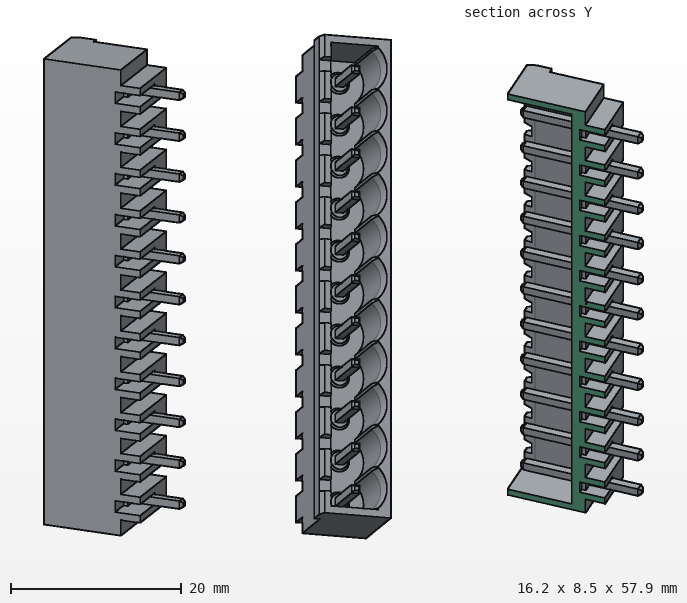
import cadquery as cq

contact_count = 11
pitch = 5.08
end_margin = 3.54
body_height = (contact_count - 1) * pitch + 2 * end_margin
contact_y = 3.9
contact_heights = [end_margin + i * pitch for i in range(contact_count)]

body_length = 9.8
body_width = 7.8
ridge_top = 8.5
ridge_length = 3.0
ridge_ramp_length = 1.0
rim_width = 8.15

cavity_depth = 8.0
end_wall = 0.89
lead_in_length = 1.44
wall_y = 6.93
wall_y_at_rim = 7.34
scallop_radius = 3.05
scallop_radius_at_rim = 3.4
web_y = 1.92
web_y_at_rim = 1.55

notch_depth = 1.0
notch_width = 1.4
notch_width_at_rim = 1.74

foot_end = 12.25
foot_width = 3.2
slot_width = 1.4
slot_start = 9.07
slot_start_at_pin = 9.6
slot_shoulder_y = 2.5

pin_size = 1.0
pin_start = 1.0
pin_end = 16.2
tip_size = 0.5
tip_length = 0.4
collar_radius = 1.3
collar_top_radius = 1.05
collar_height = 0.25


def make_housing():
    """Housing block with the latching ridge and its ramp."""
    return (
        cq.Workplane("XY")
        .moveTo(0, 0)
        .lineTo(body_length, 0)
        .lineTo(body_length, body_width)
        .lineTo(ridge_length, body_width)
        .lineTo(ridge_length, ridge_top)
        .lineTo(ridge_ramp_length, ridge_top)
        .lineTo(0, rim_width)
        .close()
        .extrude(body_height)
    )


def make_feet():
    """One foot behind each contact."""
    feet = cq.Workplane("XY")
    for z in contact_heights:
        foot = cq.Workplane("XY").box(
            foot_end - cavity_depth, body_width, foot_width, centered=(False, False, True)
        )
        feet = feet.add(foot.translate((cavity_depth, 0, z)))
    return feet.combine()


def make_cavity():
    """Cavity volume: a straight-sided trough plus one flared scallop per contact."""
    inner_height = body_height - 2 * end_wall
    trough = (
        cq.Workplane("XY")
        .moveTo(0, web_y_at_rim)
        .lineTo(lead_in_length, web_y)
        .lineTo(cavity_depth, web_y)
        .lineTo(cavity_depth, wall_y)
        .lineTo(lead_in_length, wall_y)
        .lineTo(0, wall_y_at_rim)
        .close()
        .extrude(inner_height)
        .translate((0, 0, end_wall))
    )
    inner_block = cq.Workplane("XY").box(
        cavity_depth, contact_y, inner_height, centered=False
    ).translate((0, 0, end_wall))
    cavity = trough
    for z in contact_heights:
        scallop = (
            cq.Workplane("XY")
            .moveTo(0, contact_y)
            .lineTo(0, contact_y - scallop_radius_at_rim)
            .lineTo(lead_in_length, contact_y - scallop_radius)
            .lineTo(cavity_depth, contact_y - scallop_radius)
            .lineTo(cavity_depth, contact_y)
            .close()
            .revolve(360, (0, contact_y, 0), (1, contact_y, 0))
            .translate((0, 0, z))
        )
        cavity = cavity.union(scallop.intersect(inner_block))
    return cavity


def make_notch(z):
    """Coding notch whose flanks widen towards the rim."""
    cut_start_y = contact_y + collar_radius
    return (
        cq.Workplane("XZ", origin=(0, cut_start_y, 0))
        .polyline([
            (0, z - notch_width_at_rim / 2),
            (notch_depth, z - notch_width / 2),
            (notch_depth, z + notch_width / 2),
            (0, z + notch_width_at_rim / 2),
        ])
        .close()
        .extrude(cut_start_y - ridge_top)
    )


def make_slot(z):
    """Slot exposing the pin; its end wall has a shoulder in front of the pin exit."""
    return (
        cq.Workplane("XY")
        .moveTo(slot_start, 0)
        .lineTo(foot_end, 0)
        .lineTo(foot_end, contact_y + pin_size / 2)
        .lineTo(slot_start_at_pin, contact_y + pin_size / 2)
        .lineTo(slot_start_at_pin, slot_shoulder_y)
        .lineTo(slot_start, slot_shoulder_y)
        .close()
        .extrude(slot_width)
        .translate((0, 0, z - slot_width / 2))
    )


def make_square_taper(x, z, start_size, end_size):
    """Square taper of one tip length, running towards +X from x."""
    return (
        cq.Workplane("YZ", origin=(x, contact_y, z))
        .rect(start_size, start_size)
        .workplane(offset=tip_length)
        .rect(end_size, end_size)
        .loft()
    )


def make_contact(z):
    """Square pin with tapered tips and a conical collar on the cavity floor."""
    shaft_start = pin_start + tip_length
    shaft_end = pin_end - tip_length
    front_tip = make_square_taper(pin_start, z, tip_size, pin_size)
    rear_tip = make_square_taper(shaft_end, z, pin_size, tip_size)
    shaft = (
        cq.Workplane("YZ", origin=(shaft_start, contact_y, z))
        .rect(pin_size, pin_size)
        .extrude(shaft_end - shaft_start)
    )
    collar = (
        cq.Workplane("YZ", origin=(cavity_depth - collar_height, contact_y, z))
        .circle(collar_top_radius)
        .workplane(offset=collar_height)
        .circle(collar_radius)
        .loft()
    )
    return shaft.union(front_tip).union(rear_tip).union(collar)


result = make_housing().union(make_feet()).cut(make_cavity())
for contact_z in contact_heights:
    result = result.cut(make_notch(contact_z)).cut(make_slot(contact_z))
    result = result.union(make_contact(contact_z))